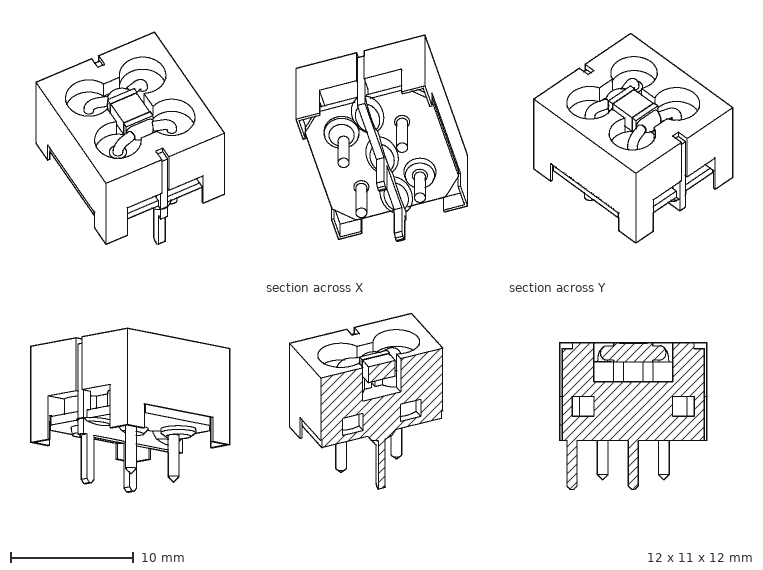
import cadquery as cq
import math

LENGTH = 12.0
WIDTH = 11.0
TOP_Z = 12.0
BOTTOM_Z = 4.0
PCB_TOP_Z = 6.0
SKIRT_WALL = 0.2
FRONT_WINDOW_WIDTH = 7.99
SIDE_WINDOW_WIDTH = 7.01
SIDE_WINDOW_TOP_Z = 7.6

PIN_OFFSET = 2.5
LOBE_DIA = 3.79
WAIST_LENGTH = 6.41
WAIST_WIDTH = 3.38
RECESS_DEPTH = 1.6
FLOOR_Z = TOP_Z - RECESS_DEPTH
CORE_POCKET_DEPTH = 1.6
CORE_SLOT_WIDTH = 0.3

PCB_LENGTH = 10.8
PCB_WIDTH = 10.8
PCB_THICKNESS = 0.71
PCB_CORNER_CUT = 1.61
PCB_BOTTOM_Z = PCB_TOP_Z - PCB_THICKNESS

FRAME_THICKNESS = 0.65
FRAME_WIDTH = 0.84
FRAME_OUTER_X = 5.81
FRAME_TOP_Z = 11.51
LEG_XS = (0.0, 5.0)
LEG_TIP_CHAMFER = 0.3

PIN_DIA = 0.9
PIN_TIP_Z = 0.79
PIN_COLLAR_DIA = 1.22
PIN_COLLAR_HEIGHT = (PIN_COLLAR_DIA - PIN_DIA) / 2

CHIP_BODY_LENGTH = 2.25
CHIP_BODY_WIDTH = 2.4
CHIP_BODY_STEP = 0.05
CHIP_LENGTH = 3.22
CHIP_WIDTH = 2.5
CHIP_SOLDER_RADIUS = 1.26
CHIP_SOLDER_CENTER_X = 1.42
CHIP_SOLDER_BOTTOM_Z = 10.56
CHIP_SOLDER_TOP_Z = 11.76
CHIP_SOLDER_ROUNDING = 0.54
WIRE_DIA = 0.8
WIRE_AXIS_Z = 11.2
WIRE_BEND_RADIUS = 0.71
WIRE_INNER_X = 2.02
WIRE_INNER_Y = 0.96
WIRE_FOOT_DEPTH = 0.24

EYELET_DIA = 1.4
EYELET_HEIGHT = 0.04
SOLDER_DISC_DIA = 2.85
SOLDER_DISC_X = -3.06
SOLDER_DISC_RIM_HEIGHT = 0.31
SOLDER_DISC_HEIGHT = 0.61
SOLDER_DISC_BOTTOM_DIA = 2.06
PIN_SOLDER_DIA = 2.62
PIN_SOLDER_BOTTOM_DIA = 2.4
PIN_SOLDER_HEIGHT = 0.59
FRAME_SOLDER_LENGTH = 3.6
FRAME_SOLDER_WIDTH = 2.55
FRAME_SOLDER_TIP_LENGTH = 0.96
FRAME_SOLDER_TIP_WIDTH = 0.67
FRAME_SOLDER_SHOULDER_DEPTH = 0.65
FRAME_SOLDER_SHOULDER_SIZE = 0.75
FRAME_SOLDER_SPOTS = ((-4.0, 0.88), (0.1, 0.68), (4.08, 0.36))

SIGNS = (-1, 1)
CORNERS = [(sx, sy) for sx in SIGNS for sy in SIGNS]
PIN_PLACES = [(sx * PIN_OFFSET, sy * PIN_OFFSET) for sx, sy in CORNERS]


def block(x_size, y_size, z_low, z_high, x=0.0):
    """Box centred on (x, 0), between two heights."""
    return cq.Workplane("XY", origin=(x, 0, z_low)).rect(x_size, y_size).extrude(z_high - z_low)


def lobes(z_low, z_high):
    """Four round columns, one over each pin."""
    return cq.Workplane("XY", origin=(0, 0, z_low)).pushPoints(PIN_PLACES).circle(
        LOBE_DIA / 2).extrude(z_high - z_low)


def clover(z_low, z_high):
    """The four columns joined by a rectangular waist."""
    return lobes(z_low, z_high).union(block(WAIST_LENGTH, WAIST_WIDTH, z_low, z_high))


def cone(x, y, z_top, top_dia, bottom_dia, height):
    """Upright tapered disc hanging down from z_top."""
    return cq.Workplane("XY", origin=(x, y, z_top)).circle(top_dia / 2).workplane(
        offset=-height).circle(bottom_dia / 2).loft()


def make_housing():
    body = block(LENGTH, WIDTH, BOTTOM_Z, TOP_Z)
    body = body.cut(block(LENGTH - 2 * SKIRT_WALL, WIDTH - 2 * SKIRT_WALL, BOTTOM_Z, PCB_TOP_Z))
    body = body.cut(block(FRONT_WINDOW_WIDTH, WIDTH, BOTTOM_Z, PCB_TOP_Z))
    body = body.cut(block(LENGTH, SIDE_WINDOW_WIDTH, BOTTOM_Z, SIDE_WINDOW_TOP_Z))
    body = body.union(clover(PCB_TOP_Z, FLOOR_Z)).cut(clover(FLOOR_Z, TOP_Z))

    pocket_z = FLOOR_Z - CORE_POCKET_DEPTH
    pocket = block(CHIP_LENGTH, WAIST_WIDTH, pocket_z, FLOOR_Z).cut(lobes(pocket_z, FLOOR_Z))
    body = body.cut(pocket).cut(block(WAIST_LENGTH, CORE_SLOT_WIDTH, pocket_z, FLOOR_Z))

    groove_length = LENGTH / 2 - FRAME_OUTER_X + FRAME_WIDTH
    for sign in SIGNS:
        groove_x = sign * (LENGTH - groove_length) / 2
        body = body.cut(block(groove_length, FRAME_THICKNESS, BOTTOM_Z, TOP_Z, groove_x))
    return body


def make_board():
    """Square board with its four upright corners cut at 45 degrees."""
    board = block(PCB_LENGTH, PCB_WIDTH, PCB_BOTTOM_Z, PCB_TOP_Z)
    return board.edges("|Z").chamfer(PCB_CORNER_CUT)


def make_frame():
    frame = block(2 * FRAME_OUTER_X, FRAME_THICKNESS, BOTTOM_Z, PCB_BOTTOM_Z)
    for sign in SIGNS:
        upright_x = sign * (FRAME_OUTER_X - FRAME_WIDTH / 2)
        frame = frame.union(block(FRAME_WIDTH, FRAME_THICKNESS, BOTTOM_Z, FRAME_TOP_Z, upright_x))
    for leg_x in LEG_XS:
        leg = block(FRAME_WIDTH, FRAME_THICKNESS, 0, PCB_BOTTOM_Z, leg_x)
        frame = frame.union(leg.faces("<Z").edges("|Y").chamfer(LEG_TIP_CHAMFER))
    return frame


def make_pin(x, y, collar_z):
    """Pin with a 45 degree collar at collar_z and a 45 degree point."""
    radius = PIN_DIA / 2
    profile = [
        (0, PCB_TOP_Z), (radius, PCB_TOP_Z), (radius, collar_z), (PIN_COLLAR_DIA / 2, collar_z),
        (radius, collar_z - PIN_COLLAR_HEIGHT), (radius, PIN_TIP_Z + radius), (0, PIN_TIP_Z),
    ]
    pin = cq.Workplane("XZ").polyline(profile).close().revolve(360, (0, 0, 0), (0, 1, 0))
    return pin.translate((x, y, 0))


def make_pins():
    """Four pins with the solder disc and the solder lump on two of them."""
    disc_rim_z = PCB_BOTTOM_Z - SOLDER_DISC_RIM_HEIGHT
    solder = cone(SOLDER_DISC_X, PIN_OFFSET, disc_rim_z, SOLDER_DISC_DIA, SOLDER_DISC_BOTTOM_DIA,
                  SOLDER_DISC_HEIGHT - SOLDER_DISC_RIM_HEIGHT)
    rim = cq.Workplane("XY", origin=(SOLDER_DISC_X, PIN_OFFSET, disc_rim_z)).circle(
        SOLDER_DISC_DIA / 2).extrude(SOLDER_DISC_RIM_HEIGHT)
    lump = cone(PIN_OFFSET, -PIN_OFFSET, PCB_BOTTOM_Z, PIN_SOLDER_DIA, PIN_SOLDER_BOTTOM_DIA,
                PIN_SOLDER_HEIGHT)
    pins = rim.union(solder).union(lump)
    for x, y in PIN_PLACES:
        on_lump = x > 0 and y < 0
        collar_z = PCB_BOTTOM_Z - PIN_SOLDER_HEIGHT if on_lump else PCB_BOTTOM_Z
        pins = pins.union(make_pin(x, y, collar_z))
    return pins


def make_frame_solder(x, depth):
    """Oval mound under the board, tapering through a shoulder to a small flat tip."""
    base_x = FRAME_SOLDER_LENGTH / 2
    base_y = FRAME_SOLDER_WIDTH / 2
    shoulder_depth = depth * FRAME_SOLDER_SHOULDER_DEPTH
    mound = cq.Workplane("XY", origin=(x, 0, PCB_BOTTOM_Z)).ellipse(base_x, base_y)
    mound = mound.workplane(offset=-shoulder_depth).ellipse(
        base_x * FRAME_SOLDER_SHOULDER_SIZE, base_y * FRAME_SOLDER_SHOULDER_SIZE)
    mound = mound.workplane(offset=shoulder_depth - depth).ellipse(
        FRAME_SOLDER_TIP_LENGTH / 2, FRAME_SOLDER_TIP_WIDTH / 2)
    return mound.loft(ruled=True)


def make_chip():
    chip = block(CHIP_BODY_LENGTH, CHIP_BODY_WIDTH, FLOOR_Z, TOP_Z - CHIP_BODY_STEP)
    cap_length = (CHIP_LENGTH - CHIP_BODY_LENGTH) / 2
    for sign in SIGNS:
        cap_x = sign * (CHIP_LENGTH - cap_length) / 2
        solder = cq.Workplane("XY", origin=(sign * CHIP_SOLDER_CENTER_X, 0, CHIP_SOLDER_BOTTOM_Z))
        solder = solder.circle(CHIP_SOLDER_RADIUS).extrude(CHIP_SOLDER_TOP_Z - CHIP_SOLDER_BOTTOM_Z)
        solder = solder.edges().fillet(CHIP_SOLDER_ROUNDING)
        solder = solder.cut(block(CHIP_LENGTH, 2 * CHIP_SOLDER_RADIUS, FLOOR_Z, TOP_Z))
        end_cap = block(cap_length, CHIP_WIDTH, FLOOR_Z, TOP_Z, cap_x)
        chip = chip.union(end_cap).union(solder)
    return chip


def make_wire(sign_x, sign_y):
    """Level wire from the chip solder, bent down into the floor above a pin."""
    run_x = PIN_OFFSET - WIRE_INNER_X
    run_y = PIN_OFFSET - WIRE_INNER_Y
    run = math.hypot(run_x, run_y)
    straight = run - WIRE_BEND_RADIUS
    plane = cq.Plane(
        origin=(sign_x * WIRE_INNER_X, sign_y * WIRE_INNER_Y, WIRE_AXIS_Z),
        xDir=(sign_x * run_x, sign_y * run_y, 0),
        normal=(sign_y * run_y, -sign_x * run_x, 0),
    )
    foot_y = FLOOR_Z - WIRE_FOOT_DEPTH - WIRE_AXIS_Z
    bend_mid = WIRE_BEND_RADIUS * math.sqrt(0.5)
    path = cq.Workplane(plane).lineTo(straight, 0)
    path = path.threePointArc((straight + bend_mid, bend_mid - WIRE_BEND_RADIUS), (run, -WIRE_BEND_RADIUS))
    path = path.lineTo(run, foot_y)
    section_plane = cq.Plane(origin=plane.origin, xDir=(0, 0, 1), normal=plane.xDir)
    return cq.Workplane(section_plane).circle(WIRE_DIA / 2).sweep(path)


def make_eyelet():
    """Thin flat ring of metal around the foot of one wire."""
    return cq.Workplane("XY", origin=(PIN_OFFSET, -PIN_OFFSET, FLOOR_Z)).circle(
        EYELET_DIA / 2).extrude(EYELET_HEIGHT)


result = make_housing().union(make_board()).union(make_frame()).union(make_pins())
for spot_x, spot_depth in FRAME_SOLDER_SPOTS:
    result = result.union(make_frame_solder(spot_x, spot_depth))
result = result.union(make_chip())
for corner in CORNERS:
    result = result.union(make_wire(*corner))
result = result.union(make_eyelet())